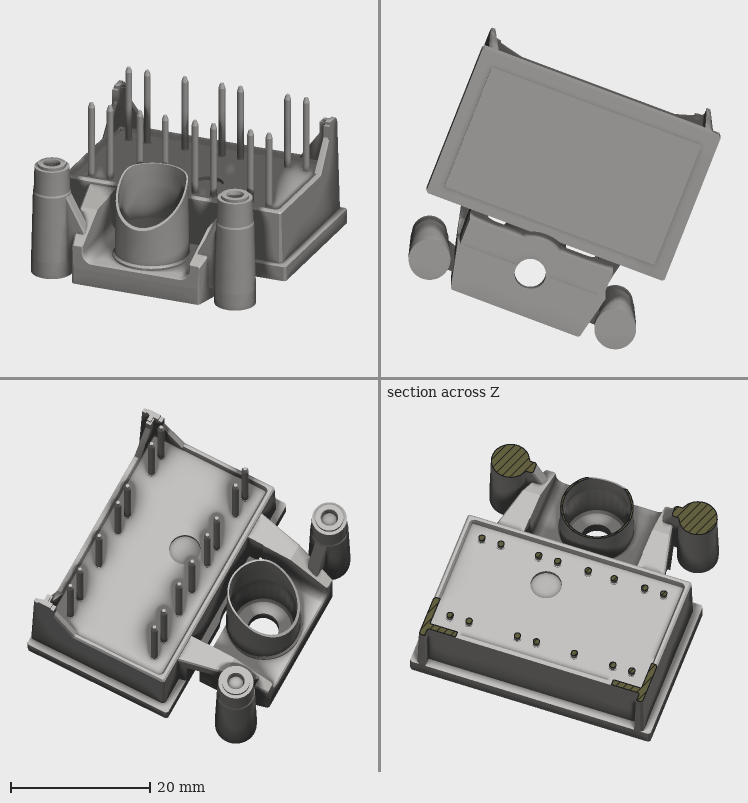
import cadquery as cq
import math


flange_length = 36.6
flange_depth = 22.85
flange_corner = 0.3
pad_height = 0.25
flange_top = 2.45
pad_length = 32.2
pad_front = 1.83
pad_back = 20.65

draft_angle = 1.5
house_half = 17.25
house_front = 1.02
house_back = 21.55
house_corner = 0.35
rim_height = 10.35
rim_edge = 0.25
horn_inner = 15.9
horn_height = 16.47
horn_slope_top = 14.7
horn_front = 19.2
horn_slope_foot = 15.9
gusset_foot = 11.75
gusset_head = 14.95
horn_cap_height = 0.45
horn_cap_front = 19.75
horn_cap_back = 21.8
horn_cap_inner = 15.3
horn_web_front = 20.57
horn_web_back = 21.15

tray_floor = 9.65
tray_half = 16.05
tray_front = 2.25
tray_back = 20.4
tray_flare = 0.33
tray_corner = 0.45
mark_diameter = 4.5
mark_depth = 0.55
mark_x = 2.67
mark_y = 8.3

pin_pitch = 2.9
pin_diameter = 1.0
pin_collar_diameter = 1.2
pin_collar_height = 0.1
pin_tip_diameter = 0.5
pin_shoulder = 20.25
pin_top = 20.97
outer_pair_x = 10.95
back_row_y = 18.1
front_row_y = 4.45
outer_pairs = [-outer_pair_x - pin_pitch, -outer_pair_x, outer_pair_x, outer_pair_x + pin_pitch]
back_row = outer_pairs + [-5.1, 0.7, 0.7 + pin_pitch]
front_row = outer_pairs + [-6.3, -2.35, 2.3, 2.3 + pin_pitch]

cradle_front = -12.0
cradle_front_half = 9.9
cradle_back_half = 12.8
cradle_edge = 0.22
arm_root_height = 9.8
arm_bend_height = 9.22
arm_bend_y = -5.7
cradle_front_height = 5.9
cradle_front_lean = 0.15
cradle_belly = 0.15
gap_half = 8.65
gap_back = -1.3
gap_height = 4.1
trough_half = 8.1
trough_flare = 0.88
trough_fillet = 1.45
trough_front_floor = 3.62
trough_slope = 3.5
trough_lip = 0.22
recess_half = 10.98
recess_back = 0.0
recess_front = -5.35
recess_height = 7.5
recess_shoulder_y = -3.3
recess_shoulder_height = 6.4
recess_fillet = 0.45

nozzle_y = -5.85
nozzle_base_radius = 5.38
nozzle_top_radius = 5.15
nozzle_height = 15.85
nozzle_foot = 0.3
bore_radius = 4.9
bore_neck_height = 7.32
bore_foot_radius = 4.43
bore_floor_radius = 4.05
bore_floor = 1.83
bore_floor_bevel = 0.35
nozzle_hole_diameter = 4.5
mouth_start_y = -3.95
mouth_angle = 41.0
mouth_fillet = 3.65
clearance_radius = 6.3

tower_x = 14.27
tower_y = -9.0
tower_radius = 3.0
tower_step_height = 12.5
tower_step_radius = 2.75
tower_neck_height = 12.8
tower_neck_radius = 2.65
tower_height = 16.47
tower_top_radius = 2.53
collar_radius = 2.0
collar_height = 0.45
screw_mouth_diameter = 2.53
screw_floor_diameter = 2.1
screw_depth = 0.9
web_thickness = 1.83
web_bottom = 2.0
web_inner = 8.8
web_inner_height = 7.25
web_outer = 11.65
web_edge = 0.22


def both_sides(half):
    return half.union(half.mirror("YZ"))


def box(x0, x1, y0, y1, z0, z1):
    return cq.Workplane("XY").box(x1 - x0, y1 - y0, z1 - z0, centered=False).translate((x0, y0, z0))


def side_prism(points, x0, x1):
    """Prism along X from x0 to x1; the points are (y, z)."""
    return cq.Workplane("YZ").polyline(points).close().extrude(x1 - x0).translate((x0, 0, 0))


def front_prism(points, y0, y1):
    """Prism along Y from y0 to y1; the points are (x, z)."""
    return cq.Workplane("XZ").polyline(points).close().extrude(y0 - y1).translate((0, y0, 0))


def upright(points, x, y):
    """Solid of revolution about a vertical axis; the points are (radius, z)."""
    return cq.Workplane("XZ").polyline(points).close().revolve(360, (0, 0, 0), (0, 1, 0)).translate((x, y, 0))


def make_base():
    half = flange_length / 2
    flange = box(-half, half, 0, flange_depth, pad_height, flange_top).edges("|Z").chamfer(flange_corner)
    pad = box(-pad_length / 2, pad_length / 2, pad_front, pad_back, 0, pad_height)
    clearance = upright([(0, 0), (clearance_radius, 0), (clearance_radius, flange_top), (0, flange_top)], 0, nozzle_y)
    return flange.cut(clearance).union(pad)


def make_housing():
    c = house_corner
    half_outline = [
        (house_half - c, house_front),
        (house_half, house_front + c),
        (house_half, flange_depth - c),
        (house_half - c, flange_depth),
        (horn_inner, flange_depth),
        (horn_inner, house_back),
    ]
    outline = half_outline + [(-x, y) for x, y in reversed(half_outline)]
    walls = (
        cq.Workplane("XY").workplane(offset=flange_top).polyline(outline).close()
        .extrude(horn_height + horn_cap_height - flange_top, taper=draft_angle)
    )
    above_rim = side_prism(
        [
            (0, rim_height),
            (horn_slope_foot, rim_height),
            (horn_front, horn_slope_top),
            (horn_front, horn_height + horn_cap_height),
            (0, horn_height + horn_cap_height),
        ],
        -house_half,
        house_half,
    )
    between_horns = front_prism(
        [
            (-gusset_foot, rim_height),
            (gusset_foot, rim_height),
            (gusset_head, horn_slope_top),
            (gusset_head, horn_height + horn_cap_height),
            (-gusset_head, horn_height + horn_cap_height),
            (-gusset_head, horn_slope_top),
        ],
        tray_back - tray_flare,
        flange_depth,
    )
    walls = walls.cut(above_rim)
    rim_middles = [(0, house_front, rim_height)]
    for side in (-house_half, house_half):
        rim_middles += [
            (side, house_front, rim_height),
            (side, horn_slope_foot / 2, rim_height),
            (side, (horn_slope_foot + horn_front) / 2, (rim_height + horn_slope_top) / 2),
        ]
    rim = walls.edges(cq.selectors.NearestToPointSelector(rim_middles[0]))
    for middle in rim_middles[1:]:
        rim = rim.add(walls.edges(cq.selectors.NearestToPointSelector(middle)))
    walls = rim.chamfer(rim_edge)
    return walls.cut(between_horns).cut(make_tray()).cut(make_horn_shoulders())


def make_horn_shoulders():
    """Space around the T-shaped caps that stand on the horns."""
    top = horn_height + horn_cap_height
    cap = box(tray_half, house_half, horn_cap_front, horn_cap_back, horn_height, top)
    cap_web = box(horn_cap_inner, tray_half, horn_web_front, horn_web_back, horn_height, top)
    around = box(-house_half, house_half, 0, flange_depth, horn_height, top)
    return around.cut(both_sides(cap.union(cap_web)))


def make_tray():
    """Flared tray floor pocket, continued straight up between the horns."""
    flare_height = rim_height - tray_floor
    depth = tray_back - tray_front
    flare = (
        cq.Workplane("XY").workplane(offset=tray_floor).center(0, tray_front + depth / 2)
        .sketch().rect(2 * tray_half, depth).vertices().fillet(tray_corner).finalize()
        .extrude(flare_height, taper=-math.degrees(math.atan(tray_flare / flare_height)))
    )
    straight = box(-tray_half, tray_half, tray_front, tray_back, tray_floor, horn_height + horn_cap_height)
    mark = (
        cq.Workplane("XY").workplane(offset=tray_floor - mark_depth).center(mark_x, mark_y)
        .circle(mark_diameter / 2).extrude(mark_depth)
    )
    return flare.union(straight).union(mark)


def make_pin(x, y):
    radius = pin_diameter / 2
    collar = pin_collar_diameter / 2
    collar_top = tray_floor + pin_collar_height
    profile = [
        (0, flange_top),
        (collar, flange_top),
        (collar, collar_top),
        (radius, collar_top),
        (radius, pin_shoulder),
        (pin_tip_diameter / 2, pin_top),
        (0, pin_top),
    ]
    return upright(profile, x, y)


def make_cradle():
    half_slope = (cradle_back_half - cradle_front_half) / (house_front - cradle_front)
    root_y = house_front + 0.75
    root_half = cradle_back_half + 0.75 * half_slope
    plan = [
        (-cradle_front_half, cradle_front),
        (cradle_front_half, cradle_front),
        (root_half, root_y),
        (-root_half, root_y),
    ]
    block = cq.Workplane("XY").polyline(plan).close().extrude(arm_root_height)
    profile = side_prism(
        [
            (cradle_front, 0),
            (recess_front, 0),
            (recess_front, cradle_belly),
            (gap_back, cradle_belly),
            (gap_back, gap_height),
            (0, gap_height),
            (0, flange_top),
            (root_y, flange_top),
            (root_y, arm_root_height),
            (arm_bend_y, arm_bend_height),
            (cradle_front + cradle_front_lean, cradle_front_height),
            (cradle_front, flange_top),
        ],
        -root_half,
        root_half,
    )
    recess = side_prism(
        [
            (recess_back, 0),
            (recess_back, recess_height),
            (recess_shoulder_y, recess_height),
            (recess_front, recess_shoulder_height),
            (recess_front, 0),
        ],
        recess_half,
        root_half,
    ).edges("|X and (not <Z)").fillet(recess_fillet)
    gap = box(-gap_half, gap_half, gap_back, root_y, 0, arm_root_height)
    body = block.edges("|Z and <Y").chamfer(cradle_edge).intersect(profile)
    for side in (-1, 1):
        arm_middle = (house_front + arm_bend_y) / 2
        slope_middle = (cradle_front + arm_bend_y) / 2
        middles = [
            (arm_middle, (arm_root_height + arm_bend_height) / 2),
            (slope_middle, (arm_bend_height + cradle_front_height) / 2),
        ]
        for y, z in middles:
            x = side * (cradle_front_half + half_slope * (y - cradle_front))
            body = body.edges(cq.selectors.NearestToPointSelector((x, y, z))).chamfer(cradle_edge)
    return body.cut(both_sides(recess)).cut(gap)


def make_trough():
    """Round-cornered channel over the cradle, its floor rising toward the housing."""
    length = house_front - cradle_front
    channel = front_prism(
        [
            (-trough_half, 0),
            (trough_half, 0),
            (trough_half + trough_flare, arm_root_height),
            (trough_half + trough_flare, nozzle_height),
            (-trough_half - trough_flare, nozzle_height),
            (-trough_half - trough_flare, arm_root_height),
        ],
        0,
        2 * length,
    )
    channel = channel.edges("|Y and <Z").fillet(trough_fillet)
    channel = channel.translate((0, -length / 2, 0)).rotate((0, 0, 0), (1, 0, 0), trough_slope)
    channel = channel.translate((0, cradle_front, trough_front_floor))
    room_half = trough_half + trough_flare
    room = box(-room_half, room_half, cradle_front - 0.35, house_front, 0, nozzle_height)
    return channel.intersect(room)


def make_nozzle():
    foot_z = trough_front_floor + math.tan(math.radians(trough_slope)) * (nozzle_y - cradle_front)
    body = upright(
        [
            (0, cradle_belly),
            (nozzle_base_radius, cradle_belly),
            (nozzle_base_radius, foot_z),
            (nozzle_top_radius, nozzle_height),
            (0, nozzle_height),
        ],
        0,
        nozzle_y,
    )
    foot = upright(
        [
            (0, trough_front_floor),
            (nozzle_base_radius + nozzle_foot, trough_front_floor),
            (nozzle_base_radius + nozzle_foot, foot_z),
            (nozzle_base_radius, foot_z + nozzle_foot),
            (0, foot_z + nozzle_foot),
        ],
        0,
        nozzle_y,
    )
    foot = foot.intersect(box(-gap_half, gap_half, cradle_front, gap_back, 0, nozzle_height))
    mouth_run = mouth_start_y - cradle_front
    mouth = side_prism(
        [
            (0, nozzle_height),
            (0, nozzle_height + 0.35),
            (cradle_front, nozzle_height + 0.35),
            (cradle_front, nozzle_height - mouth_run * math.tan(math.radians(mouth_angle))),
            (mouth_start_y, nozzle_height),
        ],
        -nozzle_base_radius,
        nozzle_base_radius,
    )
    mouth = mouth.edges(cq.selectors.NearestToPointSelector((0, mouth_start_y, nozzle_height)))
    mouth = mouth.fillet(mouth_fillet)
    return body.union(foot).cut(mouth)


def make_nozzle_bore():
    hole = nozzle_hole_diameter / 2
    profile = [
        (0, 0),
        (hole, 0),
        (hole, bore_floor),
        (bore_floor_radius, bore_floor),
        (bore_foot_radius, bore_floor + bore_floor_bevel),
        (bore_radius, bore_neck_height),
        (bore_radius, nozzle_height),
        (0, nozzle_height),
    ]
    return upright(profile, 0, nozzle_y)


def make_tower():
    top = tower_height + collar_height
    mouth = screw_mouth_diameter / 2
    profile = [
        (0, 0),
        (tower_radius, 0),
        (tower_radius, flange_top),
        (tower_step_radius, tower_step_height),
        (tower_neck_radius, tower_neck_height),
        (tower_top_radius, tower_height),
        (collar_radius, tower_height),
        (collar_radius, top),
        (mouth, top),
        (screw_floor_diameter / 2, top - screw_depth),
        (0, top - screw_depth),
    ]
    return upright(profile, tower_x, tower_y)


def make_web():
    rise = tower_step_height - web_inner_height
    slope_edges = cq.selectors.ParallelDirSelector(cq.Vector(web_outer - web_inner, 0, rise))
    return front_prism(
        [
            (web_inner, web_bottom),
            (tower_x, web_bottom),
            (tower_x, tower_step_height),
            (web_outer, tower_step_height),
            (web_inner, web_inner_height),
        ],
        tower_y - web_thickness / 2,
        tower_y + web_thickness / 2,
    ).edges(slope_edges).chamfer(web_edge)


tower_core = upright(
    [(0, 0), (tower_top_radius, 0), (tower_top_radius, tower_height), (0, tower_height)], tower_x, tower_y
)

result = make_base().union(make_housing())
cradle = make_cradle().cut(make_trough())
trough_lip_edge = cq.selectors.NearestToPointSelector((0, cradle_front, trough_front_floor))
cradle = cradle.edges(trough_lip_edge).chamfer(trough_lip)
nozzle = make_nozzle().union(cradle).cut(make_nozzle_bore())
result = result.union(nozzle)
result = result.union(both_sides(make_tower().union(make_web().cut(tower_core))))
for row_y, row in ((back_row_y, back_row), (front_row_y, front_row)):
    for pin_x in row:
        result = result.union(make_pin(pin_x, row_y))